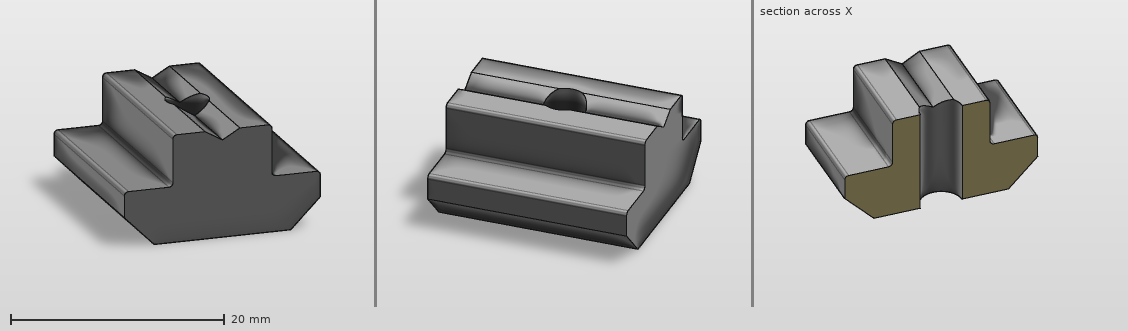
import cadquery as cq
import math

length = 20.0
base_width = 19.5
total_height = 10.6
flange_top = 5.5
neck_width = 9.85
bevel = 2.95
edge_radius = 0.4
groove_depth = 1.0
groove_angle = 120.0
hole_diameter = 4.2

half_base = base_width / 2
half_neck = neck_width / 2
half_groove = groove_depth * math.tan(math.radians(groove_angle / 2))


def make_body():
    """T-shaped bar with beveled lower edges and a V groove along its top."""
    right_half = [
        (half_base - bevel, 0),
        (half_base, bevel),
        (half_base, flange_top),
        (half_neck, flange_top),
        (half_neck, total_height),
        (half_groove, total_height),
    ]
    left_half = [(-y, z) for y, z in reversed(right_half)]
    groove_bottom = (0, total_height - groove_depth)
    outline = right_half + [groove_bottom] + left_half
    return cq.Workplane("YZ").polyline(outline).close().extrude(length / 2, both=True)


def round_long_edges(body):
    """Round the flange edges, the inner neck corners and the neck's top edges."""
    corners = [(half_base, flange_top), (half_neck, flange_top), (half_neck, total_height)]
    picked = [
        edge
        for edge in body.edges("|X").vals()
        for y, z in corners
        if math.isclose(abs(edge.Center().y), y) and math.isclose(edge.Center().z, z)
    ]
    return body.newObject(picked).fillet(edge_radius)


def make_hole():
    """Vertical through hole in the middle of the part."""
    return cq.Workplane("XY").circle(hole_diameter / 2).extrude(total_height)


result = round_long_edges(make_body()).cut(make_hole())